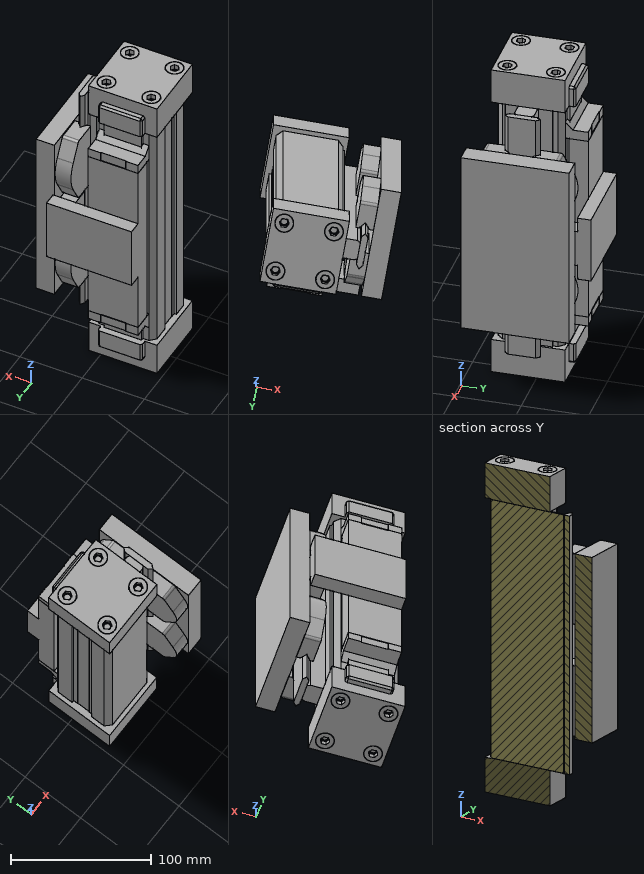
import cadquery as cq
import math


total_length = 250.0

cap_side = 55.0
cap_length = 26.8
clamp_half_width = 17.8
clamp_top_y = 32.5
clamp_length = 16.0
clamp_chamfer = 1.5

screw_offset = 18.0
counterbore_diameter = 13.5
screw_head_diameter = 13.0
screw_head_height = 8.0
socket_across_flats = 6.0
socket_depth = 4.0
socket_core_diameter = 5.0
socket_core_depth = 1.0

profile_half_width = 24.2
profile_top_y = 25.5
profile_chamfer = 4.2
band_half_width = 15.0
band_top_y = cap_side / 2
recess_half_width = 8.8
recess_depth = 1.8
slot_half_width = 5.2
slot_depth = 0.2

mount_base_x = 25.8
mount_base_half_width = 17.5
neck_half_width = 7.2
neck_chamfer_start_x = 37.0
neck_chamfer_y = 1.2
neck_end_x = 39.2

blade_thickness = 4.8
blade_half_width = 10.2
blade_tip_y = 13.2

carriage_half_width = 20.0
carriage_bottom_y = 28.2
carriage_top_y = 42.5
carriage_half_length = 72.8
bracket_top_y = 52.5
bracket_half_length = 25.2
leg_left_x = 36.0
leg_end_y = 17.5
leg_half_length = 14.0

wiper_thickness = 7.5
wiper_ramp_y = 31.2
wiper_notch_half_width = 10.0
wiper_notch_depth = 0.5

table_left_x = 48.2
table_right_x = 63.0
table_top_y = 40.5
table_bottom_y = -40.0
table_half_length = 70.5
housing_left_x = 35.5
housing_centre_z = 42.5
housing_half_length = 26.8
housing_inner_y = 8.8
housing_nose_radius = 25.0
housing_nose_y = 39.2
housing_slope_angle = math.radians(30)
housing_corner_radius = 2.5

half_length = total_length / 2
profile_half_length = half_length - cap_length
blade_middle_x = neck_end_x + blade_thickness / 2
blade_right_x = neck_end_x + blade_thickness
wiper_outer_z = carriage_half_length + wiper_thickness


def box(x_range, y_range, z_range):
    """Axis-aligned block between the given pairs of limits."""
    size = [high - low for low, high in (x_range, y_range, z_range)]
    corner = (x_range[0], y_range[0], z_range[0])
    return cq.Workplane("XY").box(*size, centered=False).translate(corner)


def both_sides(half):
    """Limits placed evenly about zero."""
    return (-half, half)


def lengthwise_symmetric(upper_outline):
    """Extrude an XY outline, given by its +Y half, over the whole cylinder profile length."""
    lower_outline = [(x, -y) for x, y in reversed(upper_outline)]
    outline = cq.Workplane("XY").polyline(upper_outline + lower_outline).close()
    return outline.extrude(profile_half_length, both=True)


def lower_copy(body):
    """Mirror an upper body to the lower end."""
    return body.mirror("XY")


def make_rail_mount():
    """Strip on the +X face of the profile with a neck that carries the rail blade."""
    upper_outline = [
        (profile_half_width, mount_base_half_width),
        (mount_base_x, mount_base_half_width),
        (mount_base_x, neck_half_width),
        (neck_chamfer_start_x, neck_half_width),
        (neck_end_x, neck_half_width - neck_chamfer_y),
    ]
    return lengthwise_symmetric(upper_outline)


def make_profile():
    """Chamfered extrusion with a band on top, a stepped recess on -X and the rail mount on +X."""
    z_range = both_sides(profile_half_length)
    body = box(both_sides(profile_half_width), (-profile_half_width, profile_top_y), z_range)
    body = body.edges("|Z").chamfer(profile_chamfer)
    body = body.union(box(both_sides(band_half_width), (profile_top_y, band_top_y), z_range))
    recess_floor_x = -profile_half_width + recess_depth
    recess = box((-profile_half_width, recess_floor_x), both_sides(recess_half_width), z_range)
    slot = box((recess_floor_x, recess_floor_x + slot_depth), both_sides(slot_half_width), z_range)
    return body.cut(recess).cut(slot).union(make_rail_mount())


def make_band_clamp():
    """Raised clamp on the +Y face of the upper cap, chamfered on its free edges."""
    z_range = (profile_half_length, profile_half_length + clamp_length)
    clamp = box(both_sides(clamp_half_width), (cap_side / 2, clamp_top_y), z_range)
    free_edges = clamp.edges("(>Z and (not <Y)) or (|Z and >Y)")
    return free_edges.chamfer(clamp_chamfer)


def make_screw_recess():
    """Annular gap around a screw head, and its hexagon socket, cut down from Z = 0."""
    gap = (
        cq.Workplane("XY")
        .circle(counterbore_diameter / 2)
        .circle(screw_head_diameter / 2)
        .extrude(-screw_head_height)
    )
    across_corners = socket_across_flats / math.cos(math.pi / 6)
    socket = cq.Workplane("XY").polygon(6, across_corners).extrude(-socket_depth)
    core = cq.Workplane("XY").circle(socket_core_diameter / 2).extrude(-socket_depth - socket_core_depth)
    return gap.union(socket.union(core))


def make_end_cap():
    """Upper end cap with its band clamp and four screw heads."""
    half_side = cap_side / 2
    cap = box(both_sides(half_side), both_sides(half_side), (profile_half_length, half_length))
    cap = cap.union(make_band_clamp())
    recess = make_screw_recess()
    for x in both_sides(screw_offset):
        for y in both_sides(screw_offset):
            cap = cap.cut(recess.translate((x, y, half_length)))
    return cap


def make_rail():
    """Flat blade with a V on each long edge, seated on the end of the mount neck."""
    upper_outline = [
        (neck_end_x, blade_half_width),
        (blade_middle_x, blade_tip_y),
        (blade_right_x, blade_half_width),
    ]
    return lengthwise_symmetric(upper_outline)


def make_carriage():
    """Carriage block with the bracket that reaches over to the guide table."""
    block = box(
        both_sides(carriage_half_width),
        (carriage_bottom_y, carriage_top_y),
        both_sides(carriage_half_length),
    )
    arm = box(
        (-carriage_half_width, table_left_x),
        (carriage_top_y, bracket_top_y),
        both_sides(bracket_half_length),
    )
    leg = box((leg_left_x, table_left_x), (leg_end_y, carriage_top_y), both_sides(leg_half_length))
    return block.union(arm).union(leg)


def make_wiper():
    """Upper wiper block with a 45 degree foot that rests on the profile."""
    foot_z = wiper_outer_z + wiper_ramp_y - profile_top_y
    outline = [
        (profile_top_y, carriage_half_length),
        (carriage_top_y, carriage_half_length),
        (carriage_top_y, wiper_outer_z),
        (wiper_ramp_y, wiper_outer_z),
        (profile_top_y, foot_z),
    ]
    wiper = cq.Workplane("YZ").polyline(outline).close().extrude(carriage_half_width, both=True)
    band_passage = box(
        both_sides(band_half_width), (profile_top_y, band_top_y), (carriage_half_length, foot_z)
    )
    top_notch = box(
        both_sides(wiper_notch_half_width),
        (carriage_top_y - wiper_notch_depth, carriage_top_y),
        (carriage_half_length, wiper_outer_z),
    )
    return wiper.cut(band_passage).cut(top_notch)


def make_roller_housing():
    """Rounded-nose housing on the -Y side, centred on Z = 0, with a V groove for the rail."""
    nose_centre_y = -housing_nose_y + housing_nose_radius
    tangent_y = nose_centre_y - housing_nose_radius * math.cos(housing_slope_angle)
    tangent_z = housing_nose_radius * math.sin(housing_slope_angle)
    shoulder_y = tangent_y + (housing_half_length - tangent_z) * math.tan(housing_slope_angle)
    housing = (
        cq.Workplane("YZ", origin=(housing_left_x, 0, 0))
        .moveTo(-housing_inner_y, -housing_half_length)
        .lineTo(shoulder_y, -housing_half_length)
        .lineTo(tangent_y, -tangent_z)
        .threePointArc((-housing_nose_y, 0), (tangent_y, tangent_z))
        .lineTo(shoulder_y, housing_half_length)
        .lineTo(-housing_inner_y, housing_half_length)
        .close()
        .extrude(table_left_x - housing_left_x)
    )
    shoulder_edges = cq.selectors.BoxSelector(
        (housing_left_x, shoulder_y - housing_corner_radius, -2 * housing_half_length),
        (table_left_x, shoulder_y + housing_corner_radius, 2 * housing_half_length),
    )
    housing = housing.edges("|X").edges(shoulder_edges).fillet(housing_corner_radius)
    v_slope = (blade_thickness / 2) / (blade_tip_y - blade_half_width)
    mouth_half_width = v_slope * (blade_tip_y - housing_inner_y)
    groove = (
        cq.Workplane("XY")
        .polyline(
            [
                (blade_middle_x - mouth_half_width, -housing_inner_y),
                (blade_middle_x, -blade_tip_y),
                (blade_middle_x + mouth_half_width, -housing_inner_y),
            ]
        )
        .close()
        .extrude(housing_half_length, both=True)
    )
    return housing.cut(groove)


def make_table():
    """Table plate carrying a pair of roller housings at each end."""
    table = box(
        (table_left_x, table_right_x),
        (table_bottom_y, table_top_y),
        both_sides(table_half_length),
    )
    front_housing = make_roller_housing()
    back_housing = front_housing.mirror("XZ")
    for z in both_sides(housing_centre_z):
        for housing in (front_housing, back_housing):
            table = table.union(housing.translate((0, 0, z)))
    return table


profile = make_profile()
upper_cap = make_end_cap()
lower_cap = lower_copy(upper_cap)
rail = make_rail()
carriage = make_carriage()
upper_wiper = make_wiper()
lower_wiper = lower_copy(upper_wiper)
table = make_table()

bodies = [profile, upper_cap, lower_cap, rail, carriage, upper_wiper, lower_wiper, table]
result = cq.Compound.makeCompound([body.solids().val() for body in bodies])